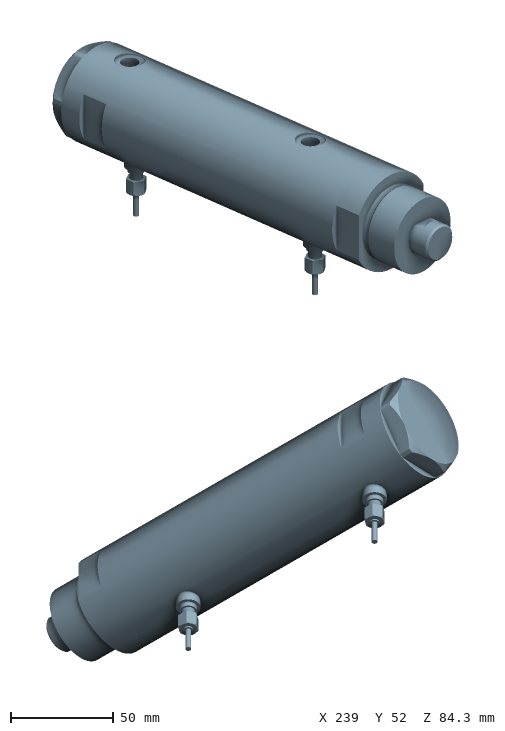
import cadquery as cq
import math

flange_start = 8.8
tube_start = 11.0
cap_boss_end = 38.2
spigot_end = 154.2
tube_end = 191.0
head_end = 206.0
collar_start = 209.6
collar_end = 227.0
rod_tip = 239.0

tube_radius = 26.0
bore_radius = 17.5
spigot_radius = 22.5
rod_radius = 9.5

flat_half_width = 23.0
tube_flat_start = 21.0
tube_flat_length = 15.0

port_places = (30.4, 151.8)
port_radius = 4.8
port_face_radius = 7.6
port_face_height = 24.5

hex_flat_radius = 22.7
hex_corner_radius = 25.5
hex_turn = 7.5

collar_radius = 20.0
relief_radius = 19.1
relief_shoulder_radius = 19.8
relief_start = 207.2
relief_stop = 208.5

tip_chamfer = 1.0
tip_flat_half_height = 8.0
tip_flat_length = 5.7

sensor_places = (34.7, 155.0)
seat_height = -24.9
rim_bottom = -27.2
ring_bottom = -31.0
shoulder_bottom = -33.7
neck_bottom = -37.5
nut_bottom = -45.5
gland_tip_bottom = -46.1
cable_bottom = -58.3
rim_radius = 5.7
ring_radius = 6.0
shoulder_radius = 4.3
neck_radius = 3.3
nut_flat_radius = 4.5
gland_tip_radius = 2.5
cable_radius = 1.5

hex_corner_ratio = 1 / math.cos(math.pi / 6)


def rod_along_x(start, end, radius):
    """Round bar on the X axis between two stations."""
    return cq.Workplane("YZ", origin=(start, 0, 0)).circle(radius).extrude(end - start)


def bar_along_z(x, bottom, top, radius):
    """Upright round bar between two heights."""
    return cq.Workplane("XY", origin=(x, 0, bottom)).circle(radius).extrude(top - bottom)


def wrench_flats(start, length):
    """Stock to remove for a pair of flats facing -Y and +Y."""
    depth = tube_radius - flat_half_width
    block = cq.Workplane("XY").box(length, 2 * depth, 2 * tube_radius)
    middle = start + length / 2
    upper = block.translate((middle, flat_half_width + depth, 0))
    lower = block.translate((middle, -flat_half_width - depth, 0))
    return upper.union(lower)


def make_tube():
    tube = rod_along_x(tube_start, tube_end, tube_radius)
    tube = tube.cut(rod_along_x(tube_start, tube_end, bore_radius))
    tube = tube.cut(rod_along_x(spigot_end, tube_end, spigot_radius))
    tube = tube.cut(wrench_flats(tube_flat_start, tube_flat_length))
    for x in port_places:
        tube = tube.cut(bar_along_z(x, 0, tube_radius, port_radius))
        tube = tube.cut(bar_along_z(x, port_face_height, tube_radius, port_face_radius))
    for x in sensor_places:
        tube = tube.cut(bar_along_z(x, -tube_radius, seat_height, rim_radius))
    return tube


def make_cap():
    hexagon = (
        cq.Workplane("YZ")
        .polygon(6, 2 * hex_flat_radius * hex_corner_ratio)
        .extrude(flange_start)
        .rotate((0, 0, 0), (1, 0, 0), -hex_turn)
    )
    corner_chamfer = hex_corner_radius - hex_flat_radius
    blank = rod_along_x(0, flange_start, hex_corner_radius).faces("<X").chamfer(corner_chamfer)
    flange = rod_along_x(flange_start, tube_start, tube_radius)
    boss = rod_along_x(tube_start, cap_boss_end, bore_radius)
    return hexagon.intersect(blank).union(flange).union(boss)


def make_gland():
    profile = [
        (spigot_end, rod_radius),
        (spigot_end, spigot_radius),
        (tube_end, spigot_radius),
        (tube_end, tube_radius),
        (head_end, tube_radius),
        (head_end, relief_shoulder_radius),
        (relief_start, relief_radius),
        (relief_stop, relief_radius),
        (collar_start, collar_radius),
        (collar_end, collar_radius),
        (collar_end, rod_radius),
    ]
    gland = cq.Workplane("XY").polyline(profile).close().revolve(360, (0, 0, 0), (1, 0, 0))
    return gland.cut(wrench_flats(tube_end, head_end - tube_end))


def make_rod():
    rod = rod_along_x(cap_boss_end, rod_tip, rod_radius).faces(">X").chamfer(tip_chamfer)
    depth = rod_radius - tip_flat_half_height
    block = cq.Workplane("XY").box(tip_flat_length, 2 * rod_radius, 2 * depth)
    middle = collar_end + tip_flat_length / 2
    for side in (1, -1):
        rod = rod.cut(block.translate((middle, 0, side * (tip_flat_half_height + depth))))
    return rod


def make_sensor(x):
    sensor = bar_along_z(x, rim_bottom, seat_height, rim_radius)
    sensor = sensor.union(bar_along_z(x, ring_bottom, rim_bottom, ring_radius))
    sensor = sensor.union(bar_along_z(x, shoulder_bottom, ring_bottom, shoulder_radius))
    sensor = sensor.union(bar_along_z(x, neck_bottom, shoulder_bottom, neck_radius))
    nut_height = neck_bottom - nut_bottom
    nut_corner_radius = nut_flat_radius * hex_corner_ratio
    nut = (
        cq.Workplane("XY", origin=(x, 0, nut_bottom))
        .polygon(6, 2 * nut_corner_radius)
        .extrude(nut_height)
    )
    nut_blank = bar_along_z(x, nut_bottom, neck_bottom, nut_corner_radius)
    nut_blank = nut_blank.faces("<Z").chamfer(nut_corner_radius - nut_flat_radius)
    sensor = sensor.union(nut.intersect(nut_blank))
    sensor = sensor.union(bar_along_z(x, gland_tip_bottom, nut_bottom, gland_tip_radius))
    return sensor.union(bar_along_z(x, cable_bottom, gland_tip_bottom, cable_radius))


tube = make_tube()
cap = make_cap()
gland = make_gland()
rod = make_rod()
sensors = [make_sensor(x) for x in sensor_places]

result = cq.Compound.makeCompound(
    [tube.val(), cap.val(), gland.val(), rod.val(), *[sensor.val() for sensor in sensors]]
)